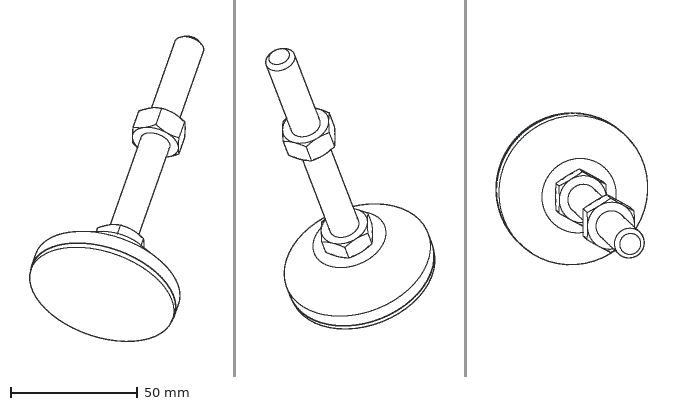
import cadquery as cq
import math

total_length = 128.0

foot_diameter = 60.0
pad_diameter = 59.5
pad_thickness = 2.0
rim_top = 8.0
foot_height = 20.0
cone_top_diameter = 30.0

rod_diameter = 12.0
rod_tip_chamfer = 1.8

hex_across_flats = 19.0
hex_across_corners = hex_across_flats / math.cos(math.radians(30))
hex_chamfer_angle = 30.0
base_hex_height = 8.0
lock_nut_start = 77.3
lock_nut_height = 10.0


def revolve_about_y(profile):
    """Revolve a list of (radius, y) points a full turn about the Y axis."""
    return cq.Workplane("XY").polyline(profile).close().revolve(360, (0, 0, 0), (0, 1, 0))


def make_foot():
    pad_radius = pad_diameter / 2
    foot_radius = foot_diameter / 2
    return revolve_about_y([
        (0, 0),
        (pad_radius, 0),
        (pad_radius, pad_thickness),
        (foot_radius, pad_thickness),
        (foot_radius, rim_top),
        (cone_top_diameter / 2, foot_height),
        (0, foot_height),
    ])


def make_rod():
    radius = rod_diameter / 2
    return revolve_about_y([
        (0, foot_height),
        (radius, foot_height),
        (radius, total_length - rod_tip_chamfer),
        (radius - rod_tip_chamfer, total_length),
        (0, total_length),
    ])


def make_hex(start, height):
    """Hexagon with corners at +Z and -Z, its corners cut by a cone at both ends."""
    prism = (
        cq.Workplane("XZ", origin=(0, start, 0))
        .transformed(rotate=(0, 0, 90))
        .polygon(6, hex_across_corners)
        .extrude(-height)
    )
    face_radius = hex_across_flats / 2
    corner_radius = hex_across_corners / 2
    chamfer_depth = (corner_radius - face_radius) * math.tan(math.radians(hex_chamfer_angle))
    envelope = revolve_about_y([
        (0, start),
        (face_radius, start),
        (corner_radius, start + chamfer_depth),
        (corner_radius, start + height - chamfer_depth),
        (face_radius, start + height),
        (0, start + height),
    ])
    return prism.intersect(envelope)


base_hex = make_hex(foot_height, base_hex_height)
lock_nut = make_hex(lock_nut_start, lock_nut_height)

result = make_foot().union(make_rod()).union(base_hex).union(lock_nut)